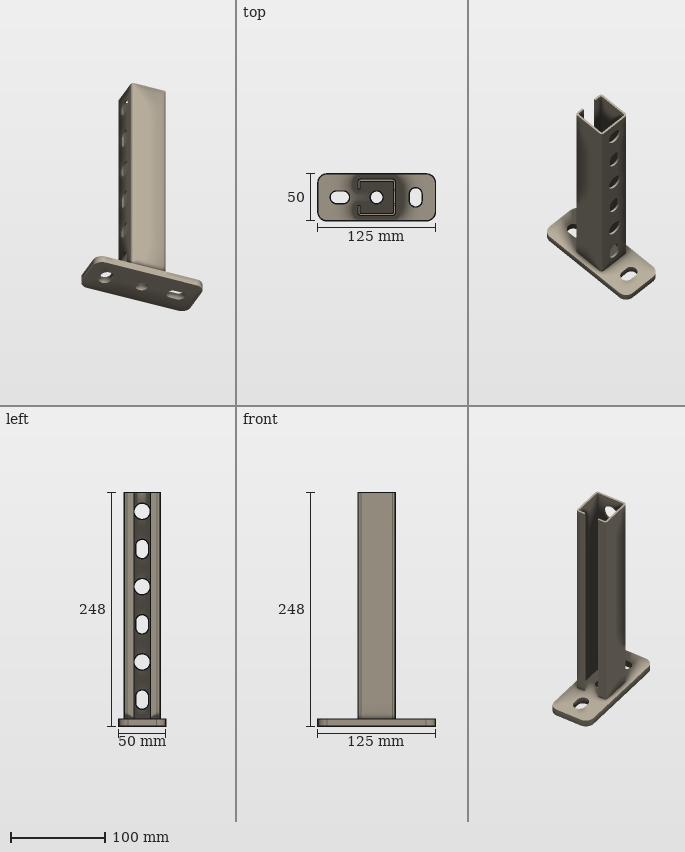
import cadquery as cq

plate_length = 125.0
plate_width = 50.0
plate_thickness = 8.0
plate_corner_radius = 10.0

total_height = 248.0
channel_depth = 40.0
channel_width = 38.5
wall = 2.2
outer_bend_radius = 3.2
inner_bend_radius = outer_bend_radius - wall
opening_width = 17.4

slot_length = 20.3
slot_width = 13.5
center_hole_diameter = 13.5
lengthwise_slot_x = -39.0
crosswise_slot_x = 41.5
round_hole_diameter = 17.0
hole_pitch = 40.0
top_hole_offset = 20.0
hole_pairs = 3


def make_plate():
    """Rounded plate with one lengthwise slot, one crosswise slot and a center hole."""
    plate = (
        cq.Workplane("XY")
        .rect(plate_length, plate_width)
        .extrude(plate_thickness)
        .edges("|Z")
        .fillet(plate_corner_radius)
    )
    cutters = cq.Workplane("XY").circle(center_hole_diameter / 2).extrude(plate_thickness)
    for x, angle in ((lengthwise_slot_x, 0), (crosswise_slot_x, 90)):
        slot = cq.Workplane("XY").center(x, 0).slot2D(slot_length, slot_width, angle)
        cutters = cutters.add(slot.extrude(plate_thickness))
    return plate.cut(cutters.combine())


def rounded_bar(depth, width, radius):
    """Solid bar from the plate top to the full height."""
    return (
        cq.Workplane("XY", origin=(0, 0, plate_thickness))
        .rect(depth, width)
        .extrude(total_height - plate_thickness)
        .edges("|Z")
        .fillet(radius)
    )


def back_wall_plane(z):
    """Plane on the middle of the back wall; local X runs along Y, local Y along Z."""
    return cq.Workplane("YZ", origin=(channel_depth / 2 - wall / 2, 0, z))


def make_channel():
    """Bent channel with round holes and vertical slots alternating down its back wall."""
    outer = rounded_bar(channel_depth, channel_width, outer_bend_radius)
    inner = rounded_bar(channel_depth - 2 * wall, channel_width - 2 * wall, inner_bend_radius)
    opening = (
        cq.Workplane("XY", origin=(-channel_depth / 2, 0, plate_thickness))
        .rect(4 * wall, opening_width)
        .extrude(total_height - plate_thickness)
    )
    channel = outer.cut(inner).cut(opening)
    for pair in range(hole_pairs):
        hole_z = total_height - top_hole_offset - 2 * pair * hole_pitch
        hole = back_wall_plane(hole_z).circle(round_hole_diameter / 2)
        slot = back_wall_plane(hole_z - hole_pitch).slot2D(slot_length, slot_width, 90)
        channel = channel.cut(hole.extrude(wall, both=True))
        channel = channel.cut(slot.extrude(wall, both=True))
    return channel


result = make_plate().union(make_channel())